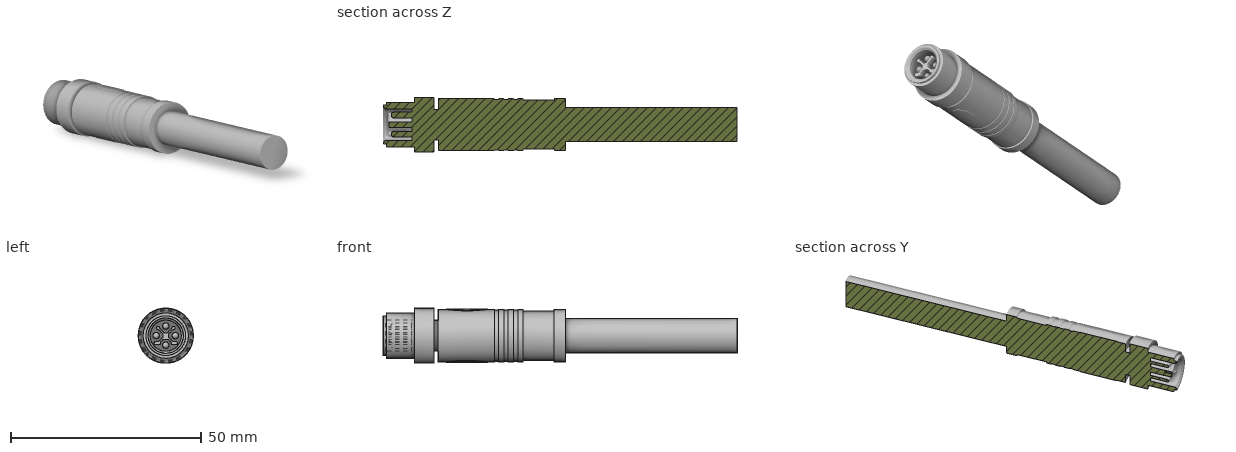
import cadquery as cq
import math

length = 93.0
tip_end = 0.8
plug_end = 8.2
nut_end = 13.4
neck_end = 14.4
body_end = 36.7
sleeve_end = 44.9
collar_end = 47.9

tip_radius = 5.2
plug_radius = 5.95
nut_radius = 7.3
neck_radius = 4.1
body_radius = 6.9
sleeve_radius = 6.5
cable_radius = 4.6

groove_count = 3
groove_start = 29.2
groove_width = 1.1
groove_pitch = 2.5
groove_depth = 0.14

socket_radius = 4.1
socket_depth = 7.4
socket_mouth_radius = 4.65
socket_chamfer = socket_mouth_radius - socket_radius

pin_count = 4
pin_circle_radius = 2.5
pin_radius = 0.8
pin_height = 5.4

cross_reach = 2.0
cross_arm_width = 0.5
cross_arm_angle = 45
cross_post_radius = 0.42
hub_radius = 0.7
cross_setback = 1.5
cross_height = socket_depth - cross_setback
web_reach = 1.0
key_post_offset = 2.2
key_post_length = 1.7
key_post_width = 0.8
key_post_drop = 1.95

pad_center = 21.95
pad_length = 10.8
pad_width = 4.5
pad_thickness = 0.14


def cylinder(start, end, radius):
    """Solid cylinder on the X axis between two stations."""
    return cq.Workplane("YZ").workplane(offset=start).circle(radius).extrude(end - start)


def stepped_body():
    """Coupling tip, plug, nut, neck, grip body, sleeve, collar and cable in line."""
    sections = [
        (tip_end, tip_radius),
        (plug_end, plug_radius),
        (nut_end, nut_radius),
        (neck_end, neck_radius),
        (body_end, body_radius),
        (sleeve_end, sleeve_radius),
        (collar_end, body_radius),
        (length, cable_radius),
    ]
    body = cq.Workplane("YZ")
    start = 0
    for end, radius in sections:
        body = body.union(cylinder(start, end, radius))
        start = end
    return body


def grip_grooves():
    """Shallow rings to cut from the body."""
    grooves = cq.Workplane("YZ")
    for index in range(groove_count):
        start = groove_start + index * groove_pitch
        end = start + groove_width
        ring = cylinder(start, end, nut_radius).cut(cylinder(start, end, body_radius - groove_depth))
        grooves = grooves.union(ring)
    return grooves


def label_pads():
    """Thin oval pads that follow the round body on its top and bottom."""
    oval = (
        cq.Workplane("XY")
        .center(pad_center, 0)
        .ellipse(pad_length / 2, pad_width / 2)
        .extrude(nut_radius, both=True)
    )
    return oval.intersect(cylinder(neck_end, body_end, body_radius + pad_thickness))


def socket():
    """Round socket with a conical lead-in at its mouth."""
    profile = [
        (0, 0),
        (0, socket_mouth_radius),
        (socket_chamfer, socket_radius),
        (socket_depth, socket_radius),
        (socket_depth, 0),
    ]
    return cq.Workplane("XY").polyline(profile).close().revolve(360, (0, 0, 0), (1, 0, 0))


def contact_pins():
    """Pins with hemispherical ends, spaced evenly around the axis."""
    tip = socket_depth - pin_height
    shoulder = tip + pin_radius
    pin = cylinder(shoulder, socket_depth, pin_radius)
    pin = pin.union(cq.Workplane("XY").sphere(pin_radius).translate((shoulder, 0, 0)))
    pin = pin.translate((0, 0, pin_circle_radius))
    pins = cq.Workplane("YZ")
    for index in range(pin_count):
        pins = pins.union(pin.rotate((0, 0, 0), (1, 0, 0), index * 360 / pin_count))
    return pins


def floor_sketch():
    """Fresh workplane on the socket floor: local x is Y, local y is Z."""
    return cq.Workplane("YZ").workplane(offset=socket_depth)


def floor_cross():
    """Diagonal ribs with round posts above, oblong key posts below and a web between the lower arms."""
    arm_length = 2 * math.hypot(cross_reach, cross_reach)
    web = [(0, 0), (web_reach, -web_reach), (-web_reach, -web_reach)]
    cross = floor_sketch().polyline(web).close().extrude(-cross_height)
    cross = cross.union(floor_sketch().circle(hub_radius).extrude(-cross_height))
    for side in (-1, 1):
        arm = floor_sketch().transformed(rotate=(0, 0, side * cross_arm_angle))
        arm = arm.rect(arm_length, cross_arm_width)
        post = floor_sketch().center(side * cross_reach, cross_reach).circle(cross_post_radius)
        key = floor_sketch().center(side * key_post_offset, -key_post_drop)
        key = key.slot2D(key_post_length, key_post_width)
        for outline in (arm, post, key):
            cross = cross.union(outline.extrude(-cross_height))
    return cross


result = (
    stepped_body()
    .union(label_pads())
    .cut(grip_grooves())
    .cut(socket())
    .union(contact_pins())
    .union(floor_cross())
)